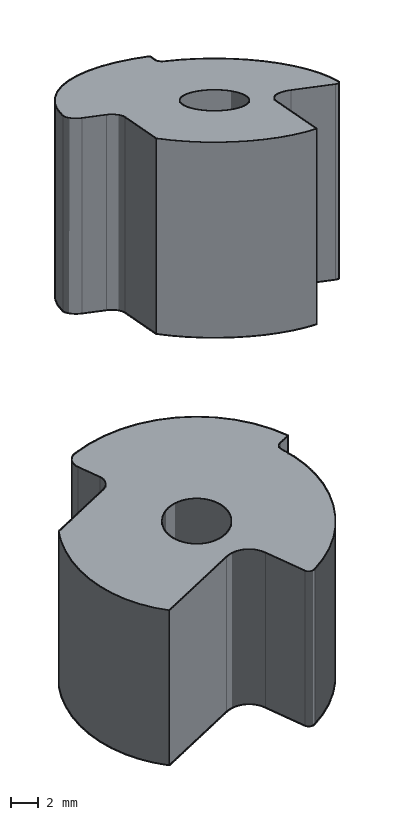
import cadquery as cq

height = 14.75
small_radius = 9.99
large_radius = 11.5
bore_diameter = 5.0
upper_notch_y = 4.0
lower_notch_y = -7.5
upper_root_radius = 2.0
lower_root_radius = 1.0
upper_tip_radius = 0.5
lower_tip_radius = 1.0
step_root_radius = 0.5


def quadrant_block(x_sign, y_sign, y_start=0):
    """Full-height block from X = 0 and Y = y_start outward into one quadrant."""
    reach = 2 * large_radius
    block = cq.Workplane("XY").box(reach, reach, height, centered=(True, True, False))
    return block.translate((x_sign * reach / 2, y_start + y_sign * reach / 2, 0))


def round_vertical_edge(body, x, y, radius):
    """Fillet the vertical edge closest to (x, y)."""
    return body.edges("|Z").edges(cq.NearestToPointSelector((x, y, height / 2))).fillet(radius)


body = cq.Workplane("XY").circle(small_radius).extrude(height)
large_disc = cq.Workplane("XY").circle(large_radius).extrude(height)
body = body.union(large_disc.intersect(quadrant_block(-1, -1)))

body = body.cut(quadrant_block(1, 1, upper_notch_y))
body = body.cut(quadrant_block(1, -1, lower_notch_y))

rounded_edges = [
    (0, upper_notch_y, upper_root_radius),
    (0, lower_notch_y, lower_root_radius),
    (0, small_radius, upper_tip_radius),
    (0, -large_radius, lower_tip_radius),
    (-small_radius, 0, step_root_radius),
]
for edge_x, edge_y, edge_radius in rounded_edges:
    body = round_vertical_edge(body, edge_x, edge_y, edge_radius)

bore = cq.Workplane("XY").circle(bore_diameter / 2).extrude(height)
result = body.cut(bore)